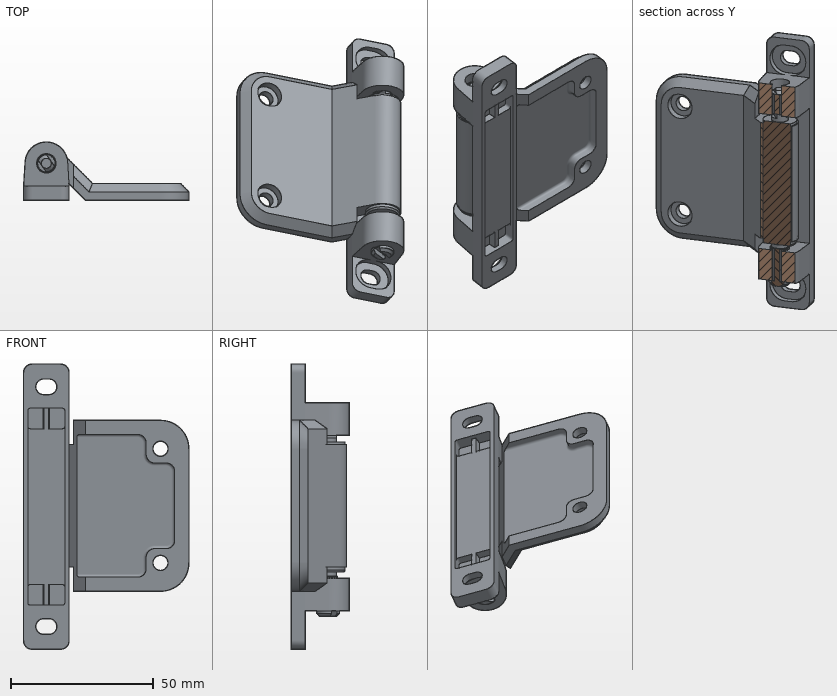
import cadquery as cq
import math

AXIS_Y = 13.0

PLATE_LENGTH = 100.0
PLATE_WIDTH = 16.0
PLATE_THICKNESS = 5.0
PLATE_CORNER_RADIUS = 3.0
SLOT_SPACING = 84.0
SLOT_LENGTH = 7.3
SLOT_HEIGHT = 5.4
HEAD_SEAT_LENGTH = 13.4
HEAD_SEAT_HEIGHT = 11.0
HEAD_SEAT_Y = 2.6
RECESS_LENGTH = 69.0
RECESS_WIDTH = 13.0
RECESS_DEPTH = 1.4
RECESS_CORNER_RADIUS = 0.9
WINDOW_LENGTH = 7.2
WINDOW_DEPTH = 4.0
RIB_WIDTH = 1.6
RIB_ROOT_WIDTH = 2.2
KNUCKLE_RADIUS = 7.5
KNUCKLE_INNER_Z = 25.0
KNUCKLE_LENGTH = 11.5
KNUCKLE_OUTER_Z = KNUCKLE_INNER_Z + KNUCKLE_LENGTH

LEAF_OFFSET_Z = 0.3
LEAF_END_X = 50.0
LEAF_START_X = 9.5
LEAF_LENGTH = 60.0
LEAF_THICKNESS = 6.0
LEAF_CORNER_RADIUS = 10.0
LEAF_BEVEL = 3.0
BEND_ANGLE = 45.0
SLEEVE_RADIUS = 6.5
SLEEVE_LENGTH = 43.0
HOLE_X = 40.0
HOLE_SPACING = 40.0
HOLE_DIAMETER = 5.2
HOLE_SEAT_DIAMETER = 9.0
HOLE_SEAT_Y = 2.9
POCKET_DEPTH = 3.0
POCKET_LENGTH = 50.0
POCKET_TONGUE_LENGTH = 30.0
POCKET_RIM = 5.0
POCKET_STEP = 10.0
POCKET_CORNER_RADIUS = 3.0
POCKET_FLOOR_RADIUS = 1.0

BARREL_DIAMETER = 12.0
BARREL_END_DIAMETER = 11.3
BARREL_TOP_OVERHANG = 0.9
BARREL_BOTTOM_OVERHANG = 1.7
BARREL_CHAMFER_LENGTH = 0.7

PIN_DIAMETER = 5.9
PIN_FLATS = 3.5
PIN_FLAT_ANGLE = 35.0
PIN_TOP_SHOULDER_Z = 24.0
PIN_TIP_DIAMETER = 3.5
PIN_TIP_LENGTH = (PIN_DIAMETER - PIN_TIP_DIAMETER) / 2
PIN_TIP_Z = 34.0

SERRATION_DIAMETER = 6.8
SERRATION_ROOT_DIAMETER = 6.2
SERRATION_TEETH = 18
SERRATION_CHAMFER = (SERRATION_DIAMETER - SERRATION_ROOT_DIAMETER) / 2
UPPER_PLUG_BOTTOM_Z = 25.5
UPPER_PLUG_TOP_Z = 33.0
ADJUSTER_TOP_Z = -24.3
ADJUSTER_BOTTOM_Z = -38.4
FLANGE_DIAMETER = 8.0
FLANGE_THICKNESS = 0.9
DRIVE_BOSS_DIAMETER = 7.8
DRIVE_BOSS_CHAMFER = 0.9
DRIVE_SLOT_WIDTH = 2.3
LOWER_KEY_LENGTH = 8.0


def round_bar(diameter, bottom_z, top_z):
    """Cylinder on the hinge axis."""
    return (
        cq.Workplane("XY", origin=(0, AXIS_Y, bottom_z))
        .circle(diameter / 2)
        .extrude(top_z - bottom_z)
    )


def keyed_bar(bottom_z, top_z):
    """Round bar of the pin's diameter with two flats."""
    flats = (
        cq.Workplane("XY")
        .rect(PIN_FLATS, 2 * PIN_DIAMETER)
        .extrude(top_z - bottom_z)
        .rotate((0, 0, 0), (0, 0, 1), PIN_FLAT_ANGLE)
        .translate((0, AXIS_Y, bottom_z))
    )
    return round_bar(PIN_DIAMETER, bottom_z, top_z).intersect(flats)


def serrated_bar(bottom_z, top_z):
    """Bar with V-shaped teeth around it, chamfered at both ends."""
    outline = []
    for half_step in range(2 * SERRATION_TEETH):
        angle = half_step * math.pi / SERRATION_TEETH
        diameter = SERRATION_ROOT_DIAMETER if half_step % 2 else SERRATION_DIAMETER
        outline.append((diameter / 2 * math.cos(angle), diameter / 2 * math.sin(angle)))
    toothed = (
        cq.Workplane("XY", origin=(0, AXIS_Y, bottom_z))
        .polyline(outline)
        .close()
        .extrude(top_z - bottom_z)
    )
    envelope = round_bar(SERRATION_DIAMETER, bottom_z, top_z).edges().chamfer(SERRATION_CHAMFER)
    return toothed.intersect(envelope)



def make_knuckle(bottom_z):
    """Eye whose straight sides run from the plate's edges tangent to its round top."""
    half_width = PLATE_WIDTH / 2
    rise = AXIS_Y - PLATE_THICKNESS
    reach = math.hypot(half_width, rise)
    side_tilt = math.atan2(half_width, rise) - math.asin(KNUCKLE_RADIUS / reach)
    tangent_x = KNUCKLE_RADIUS * math.cos(side_tilt)
    tangent_y = AXIS_Y + KNUCKLE_RADIUS * math.sin(side_tilt)
    eye = (
        cq.Workplane("XY", origin=(0, 0, bottom_z))
        .moveTo(-half_width, PLATE_THICKNESS)
        .lineTo(half_width, PLATE_THICKNESS)
        .lineTo(tangent_x, tangent_y)
        .threePointArc((0, AXIS_Y + KNUCKLE_RADIUS), (-tangent_x, tangent_y))
        .close()
        .extrude(KNUCKLE_LENGTH)
    )
    return eye.cut(round_bar(SERRATION_DIAMETER, bottom_z, bottom_z + KNUCKLE_LENGTH))


def make_windows():
    """Deep window at each end of the recess, split by a rib that widens toward its root."""
    z = (RECESS_LENGTH - WINDOW_LENGTH) / 2
    windows = (
        cq.Workplane("XZ")
        .pushPoints([(0, -z), (0, z)])
        .rect(RECESS_WIDTH, WINDOW_LENGTH)
        .extrude(-WINDOW_DEPTH)
        .edges("|Y")
        .fillet(RECESS_CORNER_RADIUS)
    )
    rib = (
        cq.Workplane("XY", origin=(0, 0, -RECESS_LENGTH / 2))
        .moveTo(-RIB_WIDTH / 2, RECESS_DEPTH)
        .lineTo(RIB_WIDTH / 2, RECESS_DEPTH)
        .lineTo(RIB_ROOT_WIDTH / 2, WINDOW_DEPTH)
        .lineTo(-RIB_ROOT_WIDTH / 2, WINDOW_DEPTH)
        .close()
        .extrude(RECESS_LENGTH)
    )
    return windows.cut(rib)


def make_screw_slots(length, height, from_y):
    """Pair of slots running from the given depth through to the plate's back."""
    return (
        cq.Workplane("XZ", origin=(0, from_y, 0))
        .pushPoints([(0, -SLOT_SPACING / 2), (0, SLOT_SPACING / 2)])
        .slot2D(length, height)
        .extrude(from_y - PLATE_THICKNESS)
    )


def make_plate():
    base = (
        cq.Workplane("XZ")
        .rect(PLATE_WIDTH, PLATE_LENGTH)
        .extrude(-PLATE_THICKNESS)
        .edges("|Y")
        .fillet(PLATE_CORNER_RADIUS)
    )
    slots = make_screw_slots(SLOT_LENGTH, SLOT_HEIGHT, 0)
    head_seats = make_screw_slots(HEAD_SEAT_LENGTH, HEAD_SEAT_HEIGHT, HEAD_SEAT_Y)
    recess = cq.Workplane("XZ").rect(RECESS_WIDTH, RECESS_LENGTH).extrude(-RECESS_DEPTH)
    recess = recess.edges("|Y").fillet(RECESS_CORNER_RADIUS)
    base = base.cut(slots).cut(head_seats).cut(recess).cut(make_windows())
    for bottom_z in (KNUCKLE_INNER_Z, -KNUCKLE_OUTER_Z):
        base = base.union(make_knuckle(bottom_z))
    return base



def make_leaf_strip(length):
    """Bent strip of constant thickness whose upper face is tangent to the sleeve."""
    bend = math.radians(BEND_ANGLE)
    normal = (math.sin(bend), math.cos(bend))
    upper_start = (SLEEVE_RADIUS * normal[0], AXIS_Y + SLEEVE_RADIUS * normal[1])
    lower_offset = SLEEVE_RADIUS - LEAF_THICKNESS
    lower_start = (lower_offset * normal[0], AXIS_Y + lower_offset * normal[1])
    upper_bend_x = upper_start[0] + (upper_start[1] - LEAF_THICKNESS) / math.tan(bend)
    lower_bend_x = lower_start[0] + lower_start[1] / math.tan(bend)
    return (
        cq.Workplane("XY", origin=(0, 0, LEAF_OFFSET_Z - length / 2))
        .polyline(
            [
                lower_start,
                (lower_bend_x, 0),
                (LEAF_END_X, 0),
                (LEAF_END_X, LEAF_THICKNESS),
                (upper_bend_x, LEAF_THICKNESS),
                upper_start,
            ]
        )
        .close()
        .extrude(length)
    )


def x_range_block(from_x, to_x):
    """Block that keeps only what lies between two X positions."""
    return (
        cq.Workplane("YZ", origin=(from_x, AXIS_Y, LEAF_OFFSET_Z))
        .rect(2 * PLATE_LENGTH, PLATE_LENGTH)
        .extrude(to_x - from_x)
    )


def make_wing():
    """Wide part of the leaf: rounded corners, bevelled upper edges, cut off square at its start."""
    wing = make_leaf_strip(LEAF_LENGTH)
    wing = wing.edges("|Y and >X").fillet(LEAF_CORNER_RADIUS)
    bend = math.radians(BEND_ANGLE)
    ramp_direction = cq.selectors.DirectionSelector(cq.Vector(math.sin(bend), math.cos(bend), 0))
    ramp = wing.faces(ramp_direction)
    flat = wing.faces("+Y")
    wing = flat.add(ramp).edges("not |Z").add(flat.edges("|Z and >X")).chamfer(LEAF_BEVEL)
    return wing.intersect(x_range_block(LEAF_START_X, LEAF_END_X))


def make_leaf_pocket():
    """Pocket with a tongue reaching between the screw holes, rounded along its floor."""
    tongue_end_x = LEAF_END_X - POCKET_RIM
    step_x = tongue_end_x - POCKET_STEP
    pocket = (
        cq.Workplane("XZ", origin=(0, 0, LEAF_OFFSET_Z))
        .moveTo(0, -POCKET_LENGTH / 2)
        .lineTo(step_x, -POCKET_LENGTH / 2)
        .lineTo(step_x, -POCKET_TONGUE_LENGTH / 2)
        .lineTo(tongue_end_x, -POCKET_TONGUE_LENGTH / 2)
        .lineTo(tongue_end_x, POCKET_TONGUE_LENGTH / 2)
        .lineTo(step_x, POCKET_TONGUE_LENGTH / 2)
        .lineTo(step_x, POCKET_LENGTH / 2)
        .lineTo(0, POCKET_LENGTH / 2)
        .close()
        .extrude(-POCKET_DEPTH)
    )
    pocket = pocket.edges("|Y and (not <X)").fillet(POCKET_CORNER_RADIUS)
    return pocket.faces(">Y").edges("not <X").fillet(POCKET_FLOOR_RADIUS)


def make_leaf_holes(diameter, from_y):
    """Pair of round holes running from the given depth through to the leaf's back."""
    return (
        cq.Workplane("XZ", origin=(0, from_y, LEAF_OFFSET_Z))
        .pushPoints([(HOLE_X, -HOLE_SPACING / 2), (HOLE_X, HOLE_SPACING / 2)])
        .circle(diameter / 2)
        .extrude(from_y - LEAF_THICKNESS)
    )


def make_leaf():
    sleeve_bottom_z = LEAF_OFFSET_Z - SLEEVE_LENGTH / 2
    sleeve_top_z = sleeve_bottom_z + SLEEVE_LENGTH
    sleeve = round_bar(2 * SLEEVE_RADIUS, sleeve_bottom_z, sleeve_top_z)
    neck = make_leaf_strip(SLEEVE_LENGTH).intersect(x_range_block(0, LEAF_START_X))
    leaf = make_wing().cut(make_leaf_pocket())
    leaf = leaf.cut(make_leaf_holes(HOLE_DIAMETER, 0))
    leaf = leaf.cut(make_leaf_holes(HOLE_SEAT_DIAMETER, HOLE_SEAT_Y))
    bore = round_bar(BARREL_DIAMETER, sleeve_bottom_z, sleeve_top_z)
    return leaf.union(neck).union(sleeve).cut(bore)



def make_barrel():
    """Barrel that fills the sleeve, stands out at both ends and lets the pin through."""
    bottom_z = LEAF_OFFSET_Z - SLEEVE_LENGTH / 2 - BARREL_BOTTOM_OVERHANG
    top_z = LEAF_OFFSET_Z + SLEEVE_LENGTH / 2 + BARREL_TOP_OVERHANG
    inset = (BARREL_DIAMETER - BARREL_END_DIAMETER) / 2
    body = round_bar(BARREL_DIAMETER, bottom_z, top_z)
    body = body.faces("<Z").edges().chamfer(BARREL_CHAMFER_LENGTH, inset)
    return body.cut(round_bar(PIN_DIAMETER, bottom_z, top_z))


def make_pin():
    """Round pin with a long pointed key at the top and a short hidden key at the bottom."""
    shaft = round_bar(PIN_DIAMETER, ADJUSTER_TOP_Z, PIN_TOP_SHOULDER_Z)
    upper_key = keyed_bar(PIN_TOP_SHOULDER_Z, PIN_TIP_Z)
    tip_cone = round_bar(PIN_DIAMETER, PIN_TOP_SHOULDER_Z, PIN_TIP_Z).faces(">Z").edges()
    upper_key = upper_key.intersect(tip_cone.chamfer(PIN_TIP_LENGTH))
    lower_key = keyed_bar(ADJUSTER_TOP_Z - LOWER_KEY_LENGTH, ADJUSTER_TOP_Z)
    return shaft.union(upper_key).union(lower_key)


def make_upper_plug():
    plug = serrated_bar(UPPER_PLUG_BOTTOM_Z, UPPER_PLUG_TOP_Z)
    return plug.cut(keyed_bar(UPPER_PLUG_BOTTOM_Z, UPPER_PLUG_TOP_Z))


def make_adjuster():
    """Serrated plug with a flange under the lower knuckle and a slot to turn it with."""
    flange_bottom_z = -KNUCKLE_OUTER_Z - FLANGE_THICKNESS
    shank = serrated_bar(-KNUCKLE_OUTER_Z, ADJUSTER_TOP_Z)
    flange = round_bar(FLANGE_DIAMETER, flange_bottom_z, -KNUCKLE_OUTER_Z)
    boss = round_bar(DRIVE_BOSS_DIAMETER, ADJUSTER_BOTTOM_Z, flange_bottom_z)
    boss = boss.faces("<Z").edges().chamfer(DRIVE_BOSS_CHAMFER)
    slot = (
        cq.Workplane("XY")
        .rect(2 * FLANGE_DIAMETER, DRIVE_SLOT_WIDTH)
        .extrude(-KNUCKLE_OUTER_Z - ADJUSTER_BOTTOM_Z)
        .rotate((0, 0, 0), (0, 0, 1), PIN_FLAT_ANGLE)
        .translate((0, AXIS_Y, ADJUSTER_BOTTOM_Z))
    )
    key_hole = keyed_bar(ADJUSTER_TOP_Z - LOWER_KEY_LENGTH, ADJUSTER_TOP_Z)
    return shank.union(flange).union(boss).cut(slot).cut(key_hole)


plate = make_plate()
leaf = make_leaf()
barrel = make_barrel()
pin = make_pin()
upper_plug = make_upper_plug()
adjuster = make_adjuster()

bodies = [plate, leaf, barrel, pin, upper_plug, adjuster]
result = cq.Compound.makeCompound([body.solids().val() for body in bodies])